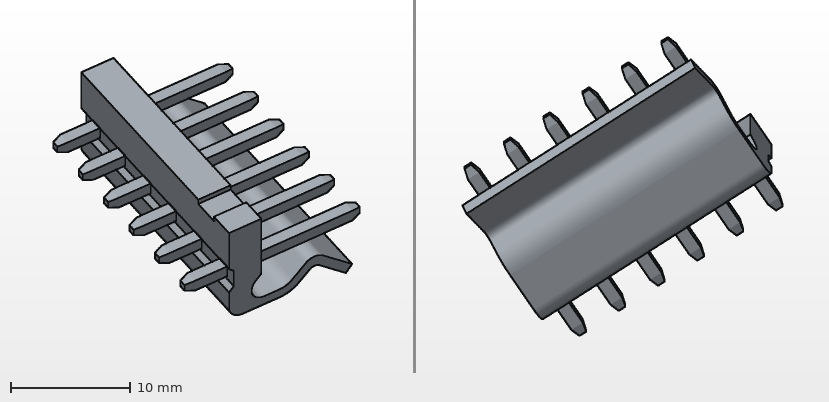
import cadquery as cq
import math


length = 23.0
wall_thickness = 3.22
wall_top = 10.15
heel_radius = 1.4

pin_count = 6
pin_pitch = 3.95
pin_size = 1.15
pin_tip_size = 0.67
pin_taper = 0.87
pin_length = 17.45
pin_front_reach = 3.6
pin_height = 4.58

groove_depth = 0.48
groove_floor_width = 1.77
groove_mouth_width = groove_floor_width + 2 * groove_depth

key_start = 18.22
key_width = 2.44
key_depth = 0.5

floor_thickness = 0.95
arm_thickness = 0.97
throat_radius = 1.29
throat_center_y = 3.55
undercut_angle = math.radians(45)
rise_angle = math.radians(42)
tail_angle = math.radians(41)
ridge_y = 8.49
ridge_z = 3.4
tail_end_y = 12.25
ridge_outer_radius = 1.29
ridge_inner_radius = 0.74
bend_inner_radius = 1.95
bend_outer_radius = bend_inner_radius + arm_thickness


def housing_corners():
    """Sharp (Y, Z) corners of the wall, clip floor, rising arm and drooping tail."""
    groove_bottom = pin_height - groove_mouth_width / 2
    groove_floor_bottom = pin_height - groove_floor_width / 2
    groove_floor_top = pin_height + groove_floor_width / 2
    groove_top = pin_height + groove_mouth_width / 2

    throat_y = throat_center_y - throat_radius / math.tan(undercut_angle / 2)
    wall_foot_z = floor_thickness + (wall_thickness - throat_y) * math.tan(undercut_angle)

    bend_top_y = ridge_y - (ridge_z - floor_thickness) / math.tan(rise_angle)
    tail_top_z = ridge_z - (tail_end_y - ridge_y) * math.tan(tail_angle)

    rise_drop = arm_thickness / math.cos(rise_angle)
    tail_drop = arm_thickness / math.cos(tail_angle)
    slope_sum = math.tan(rise_angle) + math.tan(tail_angle)
    under_ridge_y = ridge_y + (rise_drop - tail_drop) / slope_sum
    under_ridge_z = ridge_z - rise_drop + (under_ridge_y - ridge_y) * math.tan(rise_angle)
    bend_under_y = ridge_y - (ridge_z - rise_drop) / math.tan(rise_angle)
    tail_under_y = tail_end_y - arm_thickness * math.sin(tail_angle)
    tail_under_z = tail_top_z - arm_thickness * math.cos(tail_angle)

    return {
        "heel": (0, 0),
        "groove_bottom": (0, groove_bottom),
        "groove_floor_bottom": (groove_depth, groove_floor_bottom),
        "groove_floor_top": (groove_depth, groove_floor_top),
        "groove_top": (0, groove_top),
        "top_front": (0, wall_top),
        "top_back": (wall_thickness, wall_top),
        "wall_foot": (wall_thickness, wall_foot_z),
        "throat": (throat_y, floor_thickness),
        "bend_top": (bend_top_y, floor_thickness),
        "ridge_top": (ridge_y, ridge_z),
        "tail_top": (tail_end_y, tail_top_z),
        "tail_under": (tail_under_y, tail_under_z),
        "ridge_under": (under_ridge_y, under_ridge_z),
        "bend_under": (bend_under_y, 0),
    }


def make_housing():
    corners = housing_corners()
    body = cq.Workplane("YZ").polyline(list(corners.values())).close().extrude(length)
    bend_radii = {
        "heel": heel_radius,
        "throat": throat_radius,
        "bend_top": bend_inner_radius,
        "bend_under": bend_outer_radius,
        "ridge_top": ridge_outer_radius,
        "ridge_under": ridge_inner_radius,
    }
    for name, radius in bend_radii.items():
        y, z = corners[name]
        nearest = cq.selectors.NearestToPointSelector((length / 2, y, z))
        body = body.edges("|X").edges(nearest).fillet(radius)
    return body


def make_key_notch():
    notch_corner = (key_start, 0, wall_top - key_depth)
    return (
        cq.Workplane("XY", origin=notch_corner)
        .box(key_width, wall_thickness, key_depth, centered=False)
    )


def make_pin(x):
    """Square pin along Y with a tapered tip at each end."""
    shank_front = pin_taper - pin_front_reach
    shank_length = pin_length - 2 * pin_taper
    shank = (
        cq.Workplane("XZ", origin=(x, shank_front, pin_height))
        .rect(pin_size, pin_size)
        .extrude(-shank_length)
    )
    for base_y, outward in ((shank_front, 1), (shank_front + shank_length, -1)):
        tip = (
            cq.Workplane("XZ", origin=(x, base_y, pin_height))
            .rect(pin_size, pin_size)
            .workplane(offset=outward * pin_taper)
            .rect(pin_tip_size, pin_tip_size)
            .loft()
        )
        shank = shank.union(tip)
    return shank


result = make_housing().cut(make_key_notch())
first_pin_x = (length - (pin_count - 1) * pin_pitch) / 2
for index in range(pin_count):
    result = result.union(make_pin(first_pin_x + index * pin_pitch))